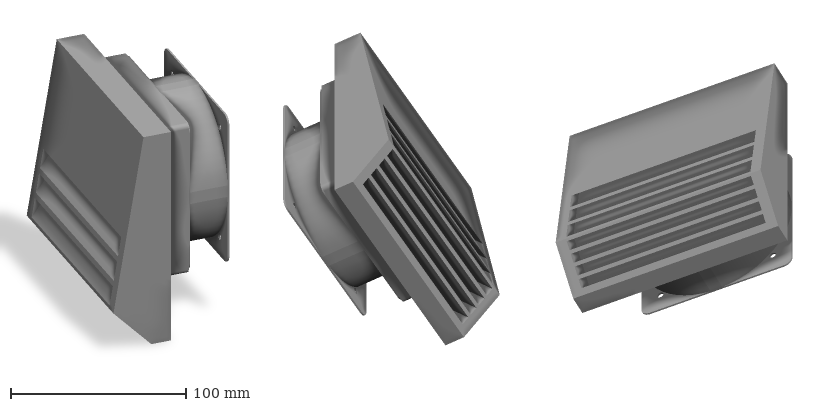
import cadquery as cq
import math

hood_width = 129.5
hood_height = 134.6
total_depth = 78.8

hood_depth = 35.5
top_depth = 17.0
bottom_depth = 12.1
nose_height = 24.5

rear_center_z = 79.4
box_width = 96.1
box_length = 17.9
box_corner_radius = 2.5
plate_width = 94.9
plate_thickness = 1.1
plate_corner_radius = 5.1
drum_flat = 7.4
drum_radius = math.hypot(plate_width / 2, drum_flat / 2)
hole_diameter = 3.8
hole_spacing = 71.0

slot_length = 116.5
slot_depth = 16.2
slot_slope = 52.0
front_slot_count = 3
front_slot_height = 12.0
front_slot_pitch = 15.3
front_slot_lowest = 26.5
lower_slot_count = 4
lower_slot_height = 3.9
lower_slot_pitch = 5.5
lower_slot_lowest = 3.0

collar_back = total_depth - hood_depth
collar_length = collar_back - box_length


def extrude_x(points, width):
    """Prism centred on X = 0 from a list of (y, z) points."""
    return cq.Workplane("YZ").polyline(points).close().extrude(width / 2, both=True)


def rear_block(width, y_start, length, corner_radius):
    """Square block with rounded corners, growing backward from y_start."""
    return (
        cq.Workplane("XZ", origin=(0, y_start, rear_center_z))
        .rect(width, width)
        .extrude(-length)
        .edges("|Y")
        .fillet(corner_radius)
    )


def front_face_y(z):
    """Y of the sloping front face at height z."""
    rise = (z - nose_height) / (hood_height - nose_height)
    return -hood_depth + rise * (hood_depth - top_depth)


def lower_face_y(z):
    """Y of the undercut lower face at height z."""
    return -bottom_depth - z / nose_height * (hood_depth - bottom_depth)


def make_hood():
    return extrude_x(
        [
            (0, 0),
            (-bottom_depth, 0),
            (-hood_depth, nose_height),
            (-top_depth, hood_height),
            (0, hood_height),
        ],
        hood_width,
    )


def slot_cutter(face_y, z_low, height):
    """Slot whose parallel floor and roof rise backward from a face."""
    z_high = z_low + height
    run = slot_depth * math.cos(math.radians(slot_slope))
    rise = slot_depth * math.sin(math.radians(slot_slope))
    return extrude_x(
        [
            (face_y(z_low), z_low),
            (face_y(z_low) + run, z_low + rise),
            (face_y(z_high) + run, z_high + rise),
            (face_y(z_high), z_high),
        ],
        slot_length,
    )


def cut_slots(hood):
    """Blind louvre slots in the sloping front face and the undercut lower face."""
    for i in range(front_slot_count):
        z_low = front_slot_lowest + i * front_slot_pitch
        hood = hood.cut(slot_cutter(front_face_y, z_low, front_slot_height))
    for i in range(lower_slot_count):
        z_low = lower_slot_lowest + i * lower_slot_pitch
        hood = hood.cut(slot_cutter(lower_face_y, z_low, lower_slot_height))
    return hood


def make_collar():
    """Drum between two square plates, flattened where it meets their sides."""
    drum = (
        cq.Workplane("XZ", origin=(0, box_length, rear_center_z))
        .circle(drum_radius)
        .extrude(-collar_length)
        .intersect(rear_block(plate_width, box_length, collar_length, plate_corner_radius))
    )
    front_plate = rear_block(plate_width, box_length, plate_thickness, plate_corner_radius)
    back_plate = rear_block(
        plate_width, collar_back - plate_thickness, plate_thickness, plate_corner_radius
    )
    holes = (
        cq.Workplane("XZ", origin=(0, collar_back, rear_center_z))
        .rect(hole_spacing, hole_spacing, forConstruction=True)
        .vertices()
        .circle(hole_diameter / 2)
        .extrude(plate_thickness)
    )
    return drum.union(front_plate).union(back_plate.cut(holes))


box = rear_block(box_width, 0, box_length, box_corner_radius)
result = cut_slots(make_hood()).union(box).union(make_collar())